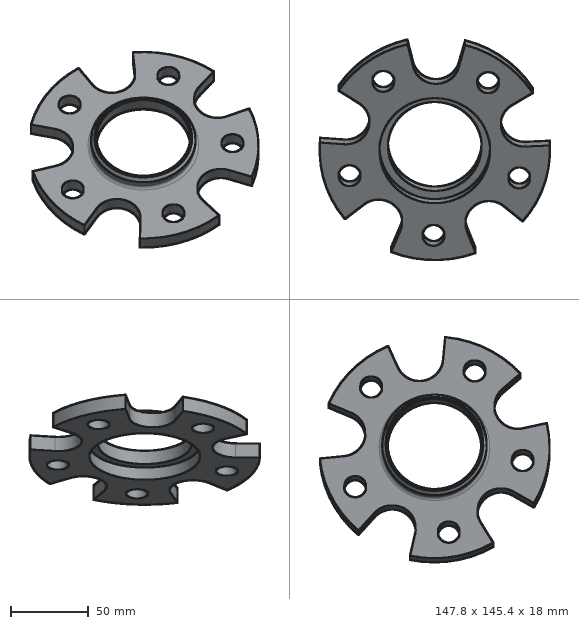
import cadquery as cq
import math

outer_radius = 73.9
plate_thickness = 10.0
arm_count = 5
arm_pitch = 360 / arm_count

total_height = 18.0
ring_radius = 33.5
ring_chamfer = 2.2
ring_root_fillet = 1.9

bore_radius = 30.0
recess_radius = 35.5
recess_depth = 8.5

bolt_hole_diameter = 14.0
bolt_circle_radius = 57.2

notch_half_angle = math.radians(14.5)
notch_floor_radius = 45.0


def make_flange():
    """Turned body: plate, ring with filleted root and chamfered rim, and stepped bore."""
    root_radius = ring_radius + ring_root_fillet
    root_top = plate_thickness + ring_root_fillet
    arc_offset = ring_root_fillet * (1 - math.sqrt(0.5))
    return (
        cq.Workplane("XZ")
        .moveTo(recess_radius, 0)
        .lineTo(outer_radius, 0)
        .lineTo(outer_radius, plate_thickness)
        .lineTo(root_radius, plate_thickness)
        .threePointArc((ring_radius + arc_offset, plate_thickness + arc_offset), (ring_radius, root_top))
        .lineTo(ring_radius, total_height - ring_chamfer)
        .lineTo(ring_radius - ring_chamfer, total_height)
        .lineTo(bore_radius, total_height)
        .lineTo(bore_radius, recess_depth)
        .lineTo(recess_radius, recess_depth)
        .close()
        .revolve(360, (0, 0, 0), (0, 1, 0))
    )


def make_notch():
    """Cutter for one notch, opening toward -Y."""
    sine = math.sin(notch_half_angle)
    cosine = math.cos(notch_half_angle)
    arc_center_radius = notch_floor_radius / (1 - sine)
    tangent_radius = arc_center_radius * cosine
    mouth_radius = 1.2 * outer_radius
    return (
        cq.Workplane("XY")
        .moveTo(-mouth_radius * sine, -mouth_radius * cosine)
        .lineTo(-tangent_radius * sine, -tangent_radius * cosine)
        .threePointArc((0, -notch_floor_radius), (tangent_radius * sine, -tangent_radius * cosine))
        .lineTo(mouth_radius * sine, -mouth_radius * cosine)
        .close()
        .extrude(plate_thickness)
    )


def make_bolt_holes():
    """Cutters for the bolt holes, one per arm, the first on +Y."""
    return (
        cq.Workplane("XY")
        .polarArray(bolt_circle_radius, 90, 360, arm_count)
        .circle(bolt_hole_diameter / 2)
        .extrude(plate_thickness)
    )


result = make_flange().cut(make_bolt_holes())
notch = make_notch()
for index in range(arm_count):
    result = result.cut(notch.rotate((0, 0, 0), (0, 0, 1), index * arm_pitch))